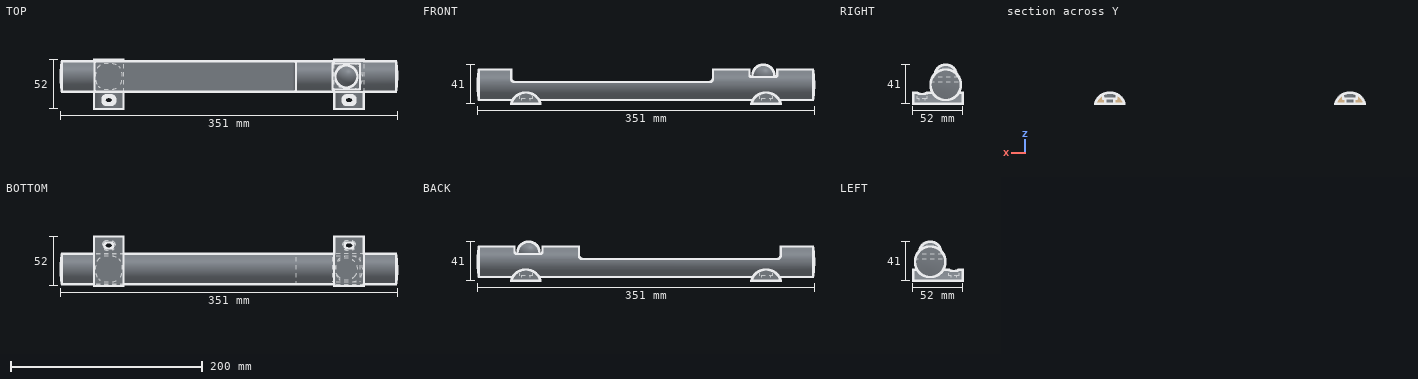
import cadquery as cq
import math

overall_length = 351.0
bar_diameter = 32.0
bar_radius = bar_diameter / 2
bar_axis_height = 20.0
bar_top = bar_axis_height + bar_radius
dome_height = 1.5
half_length = overall_length / 2
shoulder_x = half_length - dome_height

foot_spacing = 250.3
foot_height = 12.0
foot_radius = bar_radius
foot_front = 34.0
foot_back = 18.0
foot_half_width = math.sqrt(foot_radius**2 - (foot_radius - foot_height) ** 2)
left_foot_x = -foot_spacing / 2
right_foot_x = foot_spacing / 2

slot_to_bar_axis = 24.5
slot_width = 6.0
slot_stretch = 3.0
counterbore_width = 10.5
counterbore_depth = 6.3

recess_length = 210.0
recess_depth = 13.0
recess_fillet = 3.5
recess_start_offset = 15.0
recess_center_x = left_foot_x - recess_start_offset + recess_length / 2

pocket_length = 28.8
pocket_depth = 7.7
pocket_fillet = 2.0
pocket_offset = 2.8
pocket_center_x = right_foot_x - pocket_offset
ball_radius = 11.5
ball_top = 41.0


def make_bar():
    """Revolve half of the bar's lengthwise section about the bar axis."""
    dome_radius = (bar_radius**2 + dome_height**2) / (2 * dome_height)
    mid_y = bar_radius / 2
    mid_drop = dome_radius - math.sqrt(dome_radius**2 - mid_y**2)
    mid_x = half_length - mid_drop
    section = (
        cq.Workplane("XY")
        .moveTo(-half_length, 0)
        .threePointArc((-mid_x, mid_y), (-shoulder_x, bar_radius))
        .lineTo(shoulder_x, bar_radius)
        .threePointArc((mid_x, mid_y), (half_length, 0))
        .close()
    )
    bar = section.revolve(360, (0, 0, 0), (1, 0, 0))
    return bar.translate((0, 0, bar_axis_height))


def make_top_cut(center_x, length, depth, fillet):
    """Full-width cutter from above, its two cross edges at the floor rounded."""
    cutter = cq.Workplane("XY").box(length, 2 * bar_diameter, 2 * depth)
    cutter = cutter.edges("|Y and <Z").fillet(fillet)
    return cutter.translate((center_x, 0, bar_top))


def make_foot(center_x):
    """Flat-bottomed round segment running across the bar."""
    return (
        cq.Workplane("XZ", origin=(center_x, -foot_front, 0))
        .moveTo(-foot_half_width, 0)
        .threePointArc((0, foot_height), (foot_half_width, 0))
        .close()
        .extrude(-(foot_front + foot_back))
    )


def make_screw_slot(center_x):
    """Slot through the foot, widened above the counterbore floor."""
    base = cq.Workplane("XY", origin=(center_x, -slot_to_bar_axis, 0))
    through = base.slot2D(slot_width + slot_stretch, slot_width).extrude(foot_height)
    floor = base.workplane(offset=foot_height - counterbore_depth)
    counterbore_length = counterbore_width + slot_stretch
    counterbore = floor.slot2D(counterbore_length, counterbore_width).extrude(counterbore_depth)
    return through.union(counterbore)


bar = make_bar()
bar = bar.cut(make_top_cut(recess_center_x, recess_length, recess_depth, recess_fillet))
bar = bar.cut(make_top_cut(pocket_center_x, pocket_length, pocket_depth, pocket_fillet))

ball = cq.Workplane("XY").sphere(ball_radius).translate((pocket_center_x, 0, ball_top - ball_radius))

result = bar.union(ball)
for foot_x in (left_foot_x, right_foot_x):
    foot = make_foot(foot_x).cut(make_screw_slot(foot_x))
    result = result.union(foot)